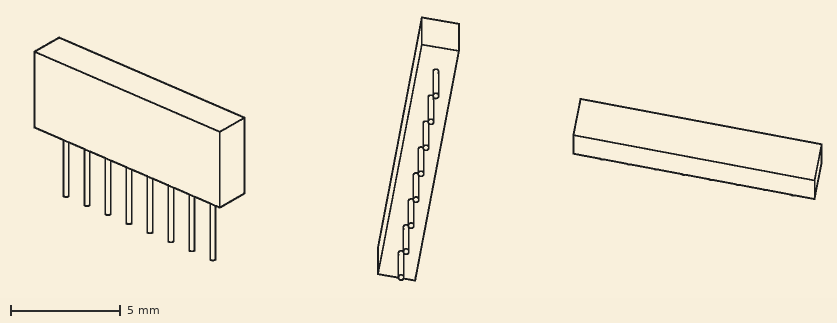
import cadquery as cq

HOUSING_LENGTH = 11.25
HOUSING_WIDTH = 1.73
HOUSING_HEIGHT = 4.0

PIN_COUNT = 8
PIN_PITCH = 1.27
PIN_DIAMETER = 0.26
TOTAL_HEIGHT = 7.54
PIN_LENGTH = TOTAL_HEIGHT - HOUSING_HEIGHT


def make_housing():
    """Plain rectangular block standing on the plane Z = 0."""
    return cq.Workplane("XY").box(
        HOUSING_LENGTH, HOUSING_WIDTH, HOUSING_HEIGHT, centered=(True, True, False)
    )


def make_pin(x):
    """Straight round pin hanging from the housing underside at the given X."""
    return cq.Workplane("XY").center(x, 0).circle(PIN_DIAMETER / 2).extrude(-PIN_LENGTH)


housing = make_housing()

first_pin_x = -(PIN_COUNT - 1) * PIN_PITCH / 2
pins = [make_pin(first_pin_x + i * PIN_PITCH) for i in range(PIN_COUNT)]

result = cq.Compound.makeCompound([housing.val(), *[pin.val() for pin in pins]])